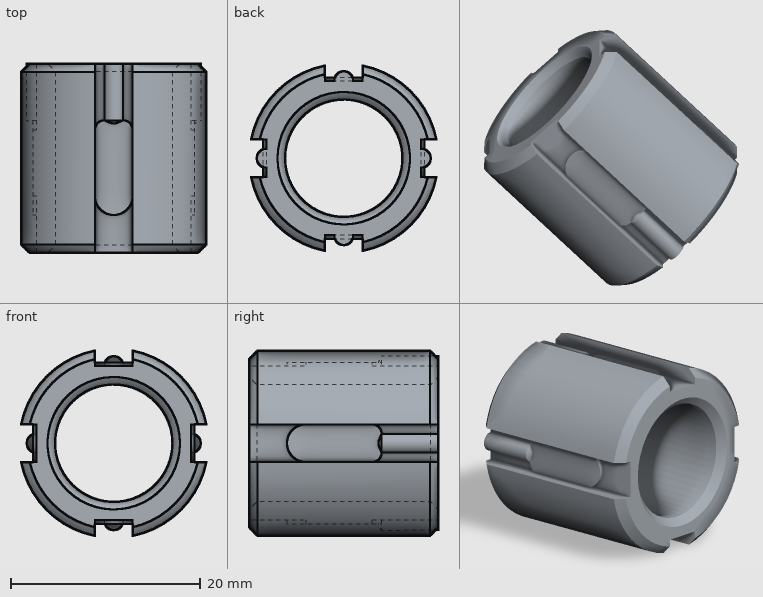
import cadquery as cq

length = 20.0
outer_diameter = 20.0
bore_diameter = 12.38
bore_mouth_diameter = 14.0
outer_chamfer = 0.9

slot_count = 4
slot_width = 4.0
slot_floor = 8.15

pad_height = 0.4
pad_length = 10.0
pad_corner_radius = 1.0

pin_radius = 1.0
pin_axis = 8.2
pin_length = 6.0
pin_tip_height = 0.52

back = length / 2
pad_back = back - pin_length
pad_front = pad_back - pad_length


def make_sleeve():
    """Chamfered tube with a countersunk bore at both ends."""
    mouth_depth = (bore_mouth_diameter - bore_diameter) / 2
    sleeve = (
        cq.Workplane("XZ", origin=(0, back, 0))
        .circle(outer_diameter / 2)
        .extrude(length)
        .faces("<Y or >Y")
        .chamfer(outer_chamfer)
    )
    bore = (
        cq.Workplane("XZ", origin=(0, back, 0))
        .circle(bore_diameter / 2)
        .extrude(length)
    )
    sleeve = sleeve.cut(bore)
    return sleeve.edges(cq.selectors.RadiusNthSelector(0)).chamfer(mouth_depth)


def make_slot():
    """Cutter for the slot on the +Z side."""
    depth = outer_diameter / 2 - slot_floor
    return cq.Workplane("XY", origin=(0, 0, slot_floor)).rect(slot_width, length).extrude(depth)


def make_pad():
    """Pad with a full round at the front and small rounded corners at the back."""
    half_width = slot_width / 2
    base = slot_floor - pad_height
    return (
        cq.Workplane("XY", origin=(0, 0, base))
        .moveTo(-half_width, pad_back)
        .lineTo(-half_width, pad_front + half_width)
        .threePointArc((0, pad_front), (half_width, pad_front + half_width))
        .lineTo(half_width, pad_back)
        .close()
        .extrude(2 * pad_height)
        .edges("|Z and >Y")
        .fillet(pad_corner_radius)
    )


def make_pin():
    """Pin with a shallow conical front end."""
    return (
        cq.Workplane("XY", origin=(0, 0, pin_axis))
        .moveTo(0, back)
        .lineTo(pin_radius, back)
        .lineTo(pin_radius, pad_back)
        .lineTo(0, pad_back - pin_tip_height)
        .close()
        .revolve(360, (0, 0, 0), (0, 1, 0))
    )


result = make_sleeve()
slot = make_slot()
pad_and_pin = make_pad().union(make_pin())
for index in range(slot_count):
    angle = index * 360 / slot_count
    result = result.cut(slot.rotate((0, 0, 0), (0, 1, 0), angle))
    result = result.union(pad_and_pin.rotate((0, 0, 0), (0, 1, 0), angle))